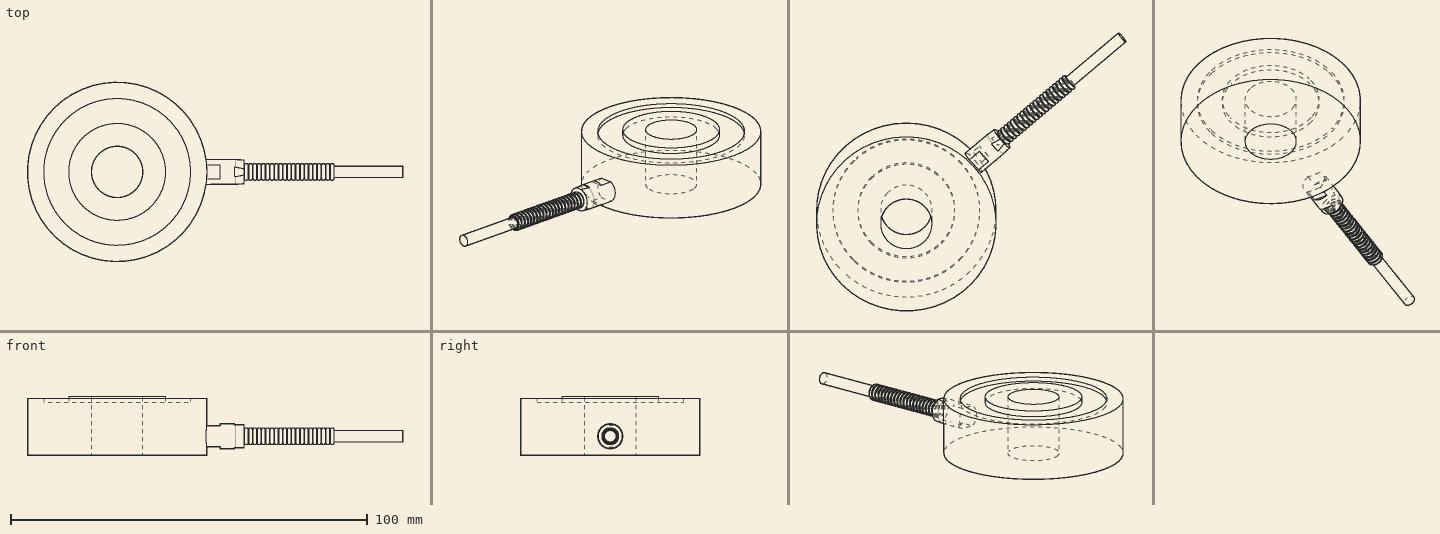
import cadquery as cq

body_diameter = 50.3
body_height = 16.0
overall_height = 16.5
bore_diameter = 14.3
hub_diameter = 27.2
recess_diameter = 41.1
recess_floor_z = 14.8

overall_length = 105.2
cable_axis_z = 5.4
cable_diameter = 3.3
cable_end_x = overall_length - body_diameter / 2

ferrule_diameter = 7.0
nose_diameter = 6.7
nose_length = 2.4
ferrule_end_x = 35.6
nose_start_x = ferrule_end_x - nose_length
wrench_flat_height = 5.9
wrench_flat_end_x = 28.8
nose_flat_height = 6.5
nose_flat_overrun = 0.3
nose_flat_start_x = nose_start_x - nose_flat_overrun

sleeve_diameter = 4.7
sleeve_root_diameter = 3.9
sleeve_length = 25.3
ring_count = 21
ring_pitch = sleeve_length / ring_count
ring_gap = 0.2
ring_crown = 0.2

root_x = (body_diameter / 2 + hub_diameter / 2) / 2


def cylinder_z(diameter, bottom_z, top_z):
    return cq.Workplane("XY").workplane(offset=bottom_z).circle(diameter / 2).extrude(top_z - bottom_z)


def revolve_about_cable_axis(profile):
    """Revolve a profile drawn as (x, radius) and lift it to the cable axis."""
    solid = profile.close().revolve(360, (0, 0, 0), (1, 0, 0))
    return solid.translate((0, 0, cable_axis_z))


def make_body():
    body = cylinder_z(body_diameter, 0, body_height)
    body = body.cut(cylinder_z(recess_diameter, recess_floor_z, body_height))
    body = body.union(cylinder_z(hub_diameter, 0, overall_height))
    return body.cut(cylinder_z(bore_diameter, 0, overall_height))


def flat_pair(start_x, end_x, height):
    """Two blocks that leave only the given height of the ferrule between them."""
    block_size = ferrule_diameter
    center_x = (start_x + end_x) / 2
    offset = (height + block_size) / 2
    block = cq.Workplane("XY").box(end_x - start_x, block_size, block_size)
    lower = block.translate((center_x, 0, cable_axis_z - offset))
    upper = block.translate((center_x, 0, cable_axis_z + offset))
    return lower.union(upper)


def make_ferrule():
    profile = (
        cq.Workplane("XY")
        .moveTo(root_x, 0)
        .lineTo(root_x, ferrule_diameter / 2)
        .lineTo(nose_start_x, ferrule_diameter / 2)
        .lineTo(ferrule_end_x, nose_diameter / 2)
        .lineTo(ferrule_end_x, 0)
    )
    ferrule = revolve_about_cable_axis(profile)
    ferrule = ferrule.cut(flat_pair(root_x, wrench_flat_end_x, wrench_flat_height))
    return ferrule.cut(flat_pair(nose_flat_start_x, ferrule_end_x, nose_flat_height))


def make_sleeve():
    root_radius = sleeve_root_diameter / 2
    crest_radius = sleeve_diameter / 2
    shoulder_radius = crest_radius - ring_crown
    sleeve_end_x = ferrule_end_x + sleeve_length
    profile = cq.Workplane("XY").moveTo(ferrule_end_x, 0).lineTo(ferrule_end_x, root_radius)
    for ring in range(ring_count):
        center_x = ferrule_end_x + (ring + 0.5) * ring_pitch
        start_x = center_x - (ring_pitch - ring_gap) / 2
        end_x = center_x + (ring_pitch - ring_gap) / 2
        profile = (
            profile.lineTo(start_x, root_radius)
            .lineTo(start_x, shoulder_radius)
            .threePointArc((center_x, crest_radius), (end_x, shoulder_radius))
            .lineTo(end_x, root_radius)
        )
    profile = profile.lineTo(sleeve_end_x, root_radius).lineTo(sleeve_end_x, 0)
    return revolve_about_cable_axis(profile)


def make_cable():
    cable = cq.Workplane("YZ").workplane(offset=root_x).center(0, cable_axis_z)
    return cable.circle(cable_diameter / 2).extrude(cable_end_x - root_x)


result = make_body().union(make_ferrule()).union(make_sleeve()).union(make_cable())